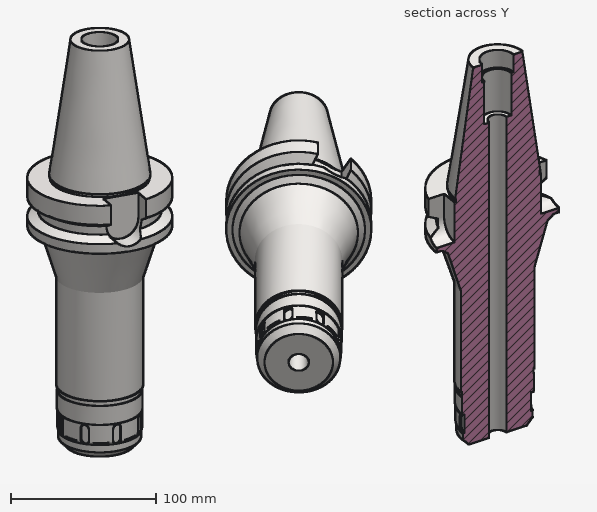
import cadquery as cq

total_height = 301.8

taper_top_radius = 20.2
taper_base_radius = 35.0
taper_length = 101.0
taper_base = total_height - taper_length
relief_radius = 34.5

flange_diameter = 100.0
flange_radius = flange_diameter / 2
flange_top = 198.5
groove_radius = 42.5
upper_rim_bottom = 184.5
groove_floor_top = 180.2
groove_floor_bottom = 173.8
lower_rim_top = 170.0
lower_rim_bottom = 162.7
flange_base = 159.0
underside_radius = 45.5

neck_radius = 40.7
body_top = 125.0
body_diameter = 60.0
body_radius = body_diameter / 2
body_bottom = 44.0

collar_radius = 29.3
nut_top = 40.5
nut_radius = 29.5
grip_top = 26.3
grip_radius = 29.3
nut_bottom = 12.7
nose_top = 11.0
nose_radius = 28.7
nose_chamfer_top = 5.5
nose_end_radius = 23.5

through_bore_radius = 7.0
thread_radius = 11.0
thread_depth = 48.3
counterbore_radius = 12.7
counterbore_depth = 14.2

keyway_count = 2
keyway_width = 26.3
keyway_floor = 35.3
keyway_bottom = 166.5

slot_count = 8
slot_width = 6.0
slot_top = 25.5
slot_bottom = nose_top
slot_depth = 1.8


def make_body():
    """Revolve the outer half profile, listed from the bottom up."""
    profile = [
        (0, 0),
        (nose_end_radius, 0),
        (nose_radius, nose_chamfer_top),
        (nose_radius, nose_top),
        (grip_radius, nut_bottom),
        (grip_radius, grip_top),
        (nut_radius, grip_top),
        (nut_radius, nut_top),
        (collar_radius, nut_top),
        (collar_radius, body_bottom),
        (body_radius, body_bottom),
        (body_radius, body_top),
        (neck_radius, flange_base),
        (underside_radius, lower_rim_bottom),
        (flange_radius, lower_rim_bottom),
        (flange_radius, lower_rim_top),
        (groove_radius, groove_floor_bottom),
        (groove_radius, groove_floor_top),
        (flange_radius, upper_rim_bottom),
        (flange_radius, flange_top),
        (relief_radius, flange_top),
        (relief_radius, taper_base),
        (taper_base_radius, taper_base),
        (taper_top_radius, total_height),
        (0, total_height),
    ]
    return cq.Workplane("XZ").polyline(profile).close().revolve(360, (0, 0), (0, 1))


def make_bore():
    """Through bore, threaded section and counterbore, all opening at the top."""
    top = cq.Workplane("XY", origin=(0, 0, total_height))
    through = top.circle(through_bore_radius).extrude(-total_height)
    thread = top.circle(thread_radius).extrude(-thread_depth)
    counterbore = top.circle(counterbore_radius).extrude(-counterbore_depth)
    return through.union(thread).union(counterbore)


def make_keyway():
    """Round-bottomed keyway on the +X side, open at the flange top."""
    half_width = keyway_width / 2
    return (
        cq.Workplane("YZ", origin=(keyway_floor, 0, 0))
        .moveTo(-half_width, flange_top)
        .lineTo(-half_width, keyway_bottom + half_width)
        .threePointArc((0, keyway_bottom), (half_width, keyway_bottom + half_width))
        .lineTo(half_width, flange_top)
        .close()
        .extrude(flange_radius)
    )


def make_wrench_slot():
    """Round-ended slot with a flat floor on the +X side of the nut."""
    slot_center = (slot_top + slot_bottom) / 2
    return (
        cq.Workplane("YZ", origin=(grip_radius - slot_depth, 0, slot_center))
        .slot2D(slot_top - slot_bottom, slot_width, 90)
        .extrude(nut_radius)
    )


def cut_around_axis(body, cutter, count):
    """Cut count copies of the cutter, equally spaced around the Z axis."""
    for index in range(count):
        angle = index * 360 / count
        body = body.cut(cutter.rotate((0, 0, 0), (0, 0, 1), angle))
    return body


result = make_body().cut(make_bore())
result = cut_around_axis(result, make_keyway(), keyway_count)
result = cut_around_axis(result, make_wrench_slot(), slot_count)